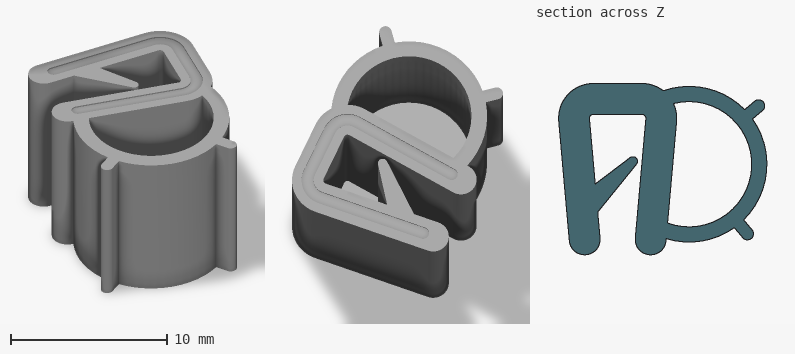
import cadquery as cq
import math

length = 10.0
clip_height = 11.01

leg_thickness = 2.01
tip_radius = leg_thickness / 2
tip_x = 2.11
corner_x = 1.55
corner_outer_radius = 2.25
corner_y = clip_height - corner_outer_radius
bend_radius = corner_outer_radius - tip_radius

channel_width = 0.78
channel_depth = 0.1
channel_setback = 0.7

tube_x = 4.58
tube_y = 5.82
tube_radius = 5.0
tube_wall = 1.0
nub_width = 0.8
nub_reach = 5.82
nub_angles = (40, -50)

tongue_tip = (0.98, 6.01)
tongue_tip_radius = 0.31
tongue_root_upper = (-1.74, 4.34)
tongue_root_lower = (-1.74, 2.17)


def polar(center, radius, angle):
    """Point at a distance and an angle (radians) from a center."""
    return (center[0] + radius * math.cos(angle), center[1] + radius * math.sin(angle))


def tangent_angle(point, center, radius, side):
    """Angle on a circle where a line from the point touches it; side is +1 or -1."""
    dx = point[0] - center[0]
    dy = point[1] - center[1]
    return math.atan2(dy, dx) + side * math.acos(radius / math.hypot(dx, dy))


def mirrored(point):
    return (-point[0], point[1])


corner_center = (corner_x, corner_y)
leg_tip = (tip_x, tip_radius)
leg_normal = tangent_angle(leg_tip, corner_center, bend_radius, 1)
leg_upward = leg_normal + math.pi / 2
top_middle = math.pi / 2
corner_middle = (leg_normal + top_middle) / 2


def clip_band(width, setback):
    """Round-ended U band centered in the clip wall."""
    half = width / 2
    outer = bend_radius + half
    inner = bend_radius - half
    end = polar(leg_tip, setback, leg_upward)
    end_outer = polar(end, half, leg_normal)
    end_bottom = polar(end, -half, leg_upward)
    end_inner = polar(end, -half, leg_normal)
    outer_side = polar(corner_center, outer, leg_normal)
    outer_mid = polar(corner_center, outer, corner_middle)
    outer_top = polar(corner_center, outer, top_middle)
    inner_side = polar(corner_center, inner, leg_normal)
    inner_mid = polar(corner_center, inner, corner_middle)
    inner_top = polar(corner_center, inner, top_middle)
    return (
        cq.Workplane("XY")
        .moveTo(*end_outer)
        .lineTo(*outer_side)
        .threePointArc(outer_mid, outer_top)
        .lineTo(*mirrored(outer_top))
        .threePointArc(mirrored(outer_mid), mirrored(outer_side))
        .lineTo(*mirrored(end_outer))
        .threePointArc(mirrored(end_bottom), mirrored(end_inner))
        .lineTo(*mirrored(inner_side))
        .threePointArc(mirrored(inner_mid), mirrored(inner_top))
        .lineTo(*inner_top)
        .threePointArc(inner_mid, inner_side)
        .lineTo(*end_inner)
        .threePointArc(end_bottom, end_outer)
        .close()
    )


def clip_interior():
    """Space enclosed by the middle line of the clip wall."""
    side = polar(corner_center, bend_radius, leg_normal)
    middle = polar(corner_center, bend_radius, corner_middle)
    top = polar(corner_center, bend_radius, top_middle)
    return (
        cq.Workplane("XY")
        .moveTo(*leg_tip)
        .lineTo(*side)
        .threePointArc(middle, top)
        .lineTo(*mirrored(top))
        .threePointArc(mirrored(middle), mirrored(side))
        .lineTo(*mirrored(leg_tip))
        .close()
        .extrude(length)
    )


def seal_tube():
    """Tube with outside nubs, trimmed where it would enter the clip."""
    center = cq.Workplane("XY").center(tube_x, tube_y)
    tube = center.circle(tube_radius).extrude(length)
    for angle in nub_angles:
        nub = (
            cq.Workplane("XY")
            .center(nub_reach / 2, 0)
            .slot2D(nub_reach + nub_width, nub_width)
            .extrude(length)
            .rotate((0, 0, 0), (0, 0, 1), angle)
            .translate((tube_x, tube_y, 0))
        )
        tube = tube.union(nub)
    bore = center.circle(tube_radius - tube_wall).extrude(length)
    return tube.cut(bore).cut(clip_interior())


def tongue():
    """Tapered tongue with a round tip, rooted inside the left leg."""
    upper = tangent_angle(tongue_root_upper, tongue_tip, tongue_tip_radius, -1)
    lower = tangent_angle(tongue_root_lower, tongue_tip, tongue_tip_radius, 1)
    root_x = (tongue_root_upper[0] + tongue_root_lower[0]) / 2
    root_y = (tongue_root_upper[1] + tongue_root_lower[1]) / 2
    middle = math.atan2(tongue_tip[1] - root_y, tongue_tip[0] - root_x)
    return (
        cq.Workplane("XY")
        .moveTo(*tongue_root_lower)
        .lineTo(*polar(tongue_tip, tongue_tip_radius, lower))
        .threePointArc(
            polar(tongue_tip, tongue_tip_radius, middle),
            polar(tongue_tip, tongue_tip_radius, upper),
        )
        .lineTo(*tongue_root_upper)
        .close()
        .extrude(length)
    )


clip = clip_band(leg_thickness, 0).extrude(length)
channel = (
    clip_band(channel_width, channel_setback)
    .extrude(channel_depth)
    .translate((0, 0, length - channel_depth))
)

result = clip.union(seal_tube()).union(tongue()).cut(channel)